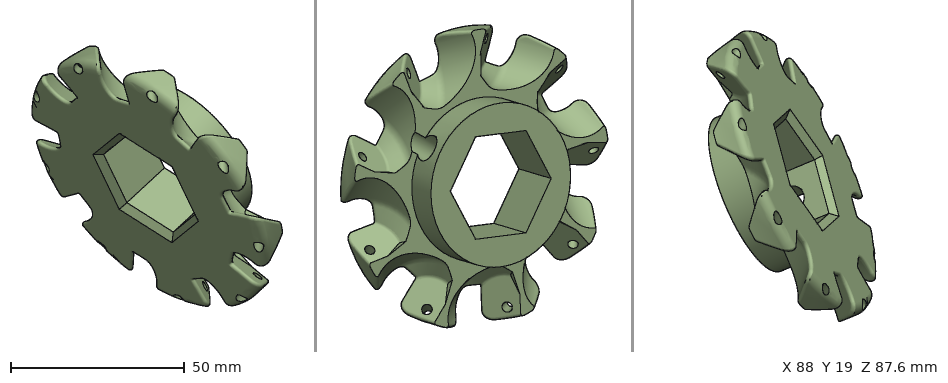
import cadquery as cq
import math

FLANGE_RADIUS = 44.0
FLANGE_THICKNESS = 9.0
RIM_FILLET = 3.0
BOSS_RADIUS = 24.0
BOSS_LENGTH = 10.0
TOTAL_LENGTH = FLANGE_THICKNESS + BOSS_LENGTH

HEX_ACROSS_FLATS = 30.0
HEX_CHAMFER = 2.0

SCREW_HOLE_DIAMETER = 8.0
SCREW_HOLE_FROM_BACK = 7.0
SCREW_HOLE_ANGLE = 30.0

TOOTH_COUNT = 9
FIRST_GULLET_ANGLE = 17.0
PITCH_CENTRE_ANGLE = 2.5
SEAT_SLANT = 45.0
SEAT_OFFSET = 2.3
POCKET_AXIS_ALONG_SEAT = 8.8
POCKET_AXIS_HEIGHT = 39.6
SEAT_RADIUS = 9.7
SEAT_CORNER_FILLET = 1.3
RELIEF_RADIUS = 13.7
RELIEF_START = 4.8
RELIEF_FILLET = 3.5
GULLET_LENGTH = 22.9
TOOTH_EDGE_FILLET = 0.8
INSERT_HOLE_DIAMETER = 3.0
INSERT_HOLE_LENGTH = 17.6

ORIGIN = (0, 0, 0)
Y_DIRECTION = (0, 1, 0)
TOLERANCE = 0.01


def disc(radius, length):
    """Cylinder on the Y axis, from Y = 0 towards +Y."""
    return cq.Workplane("XZ").circle(radius).extrude(-length)


def turn_to_gullet(shape, index=0):
    """Move a shape from the pocket axis frame to one of the gullets."""
    slant = math.radians(SEAT_SLANT)
    along_seat = cq.Vector(math.sin(slant), math.cos(slant), 0)
    frame = cq.Plane(
        origin=cq.Vector(SEAT_OFFSET, 0, POCKET_AXIS_HEIGHT) + along_seat * POCKET_AXIS_ALONG_SEAT,
        xDir=along_seat,
        normal=(0, 0, 1),
    )
    angle = FIRST_GULLET_ANGLE + index * 360 / TOOTH_COUNT
    placed = shape.val().moved(cq.Location(frame))
    return cq.Workplane(placed).rotate(ORIGIN, Y_DIRECTION, -angle)


def gullet_cutter():
    """Turned body about +Y: flat seat, flaring floor, then a straight relief."""
    seat_corner = (SEAT_RADIUS, 0)
    relief_corner = (RELIEF_RADIUS, RELIEF_START)
    near = cq.selectors.NearestToPointSelector
    half = (
        cq.Sketch()
        .polygon([
            (0, 0), seat_corner, relief_corner,
            (RELIEF_RADIUS, GULLET_LENGTH), (0, GULLET_LENGTH), (0, 0),
        ])
        .vertices(near((*seat_corner, 0)))
        .fillet(SEAT_CORNER_FILLET)
        .reset()
        .vertices(near((*relief_corner, 0)))
        .fillet(RELIEF_FILLET)
        .reset()
    )
    return cq.Workplane("XY").placeSketch(half).revolve(360, ORIGIN, Y_DIRECTION)


def on_outside(point):
    """Whether a point lies on the front face, the rim fillet or the rim."""
    radius = math.hypot(point.x, point.z)
    fillet_centre_radius = FLANGE_RADIUS - RIM_FILLET
    from_fillet_centre = math.hypot(radius - fillet_centre_radius, point.y - RIM_FILLET)
    return (
        abs(point.y) < TOLERANCE
        or abs(radius - FLANGE_RADIUS) < TOLERANCE
        or (point.y < RIM_FILLET and abs(from_fillet_centre - RIM_FILLET) < TOLERANCE)
    )


def is_tooth_edge(edge):
    """Whether an edge is where a gullet breaks out, other than on the back of the flange."""
    points = edge.positions([0.02, 0.25, 0.5, 0.75, 0.98])
    radii = [math.hypot(p.x, p.z) for p in points]
    heights = [p.y for p in points]
    on_back = min(heights) > FLANGE_THICKNESS - TOLERANCE
    is_round_line = max(radii) - min(radii) < TOLERANCE and max(heights) - min(heights) < TOLERANCE
    return all(on_outside(p) for p in points) and not on_back and not is_round_line


def tooth_pitch():
    """One pitch of the flange: a gullet with rounded edges between two half teeth."""
    blank = disc(FLANGE_RADIUS, FLANGE_THICKNESS)
    blank = blank.faces("<Y").edges().fillet(RIM_FILLET)
    notched = blank.cut(turn_to_gullet(gullet_cutter()))
    tooth_edges = [edge for edge in notched.edges().vals() if is_tooth_edge(edge)]
    notched = notched.newObject(tooth_edges).fillet(TOOTH_EDGE_FILLET)
    half_pitch = math.pi / TOOTH_COUNT
    reach = 2 * FLANGE_RADIUS
    side = (reach * math.sin(half_pitch), reach * math.cos(half_pitch))
    wedge = (
        cq.Workplane("XZ")
        .polyline([(0, 0), side, (-side[0], side[1])])
        .close()
        .extrude(-FLANGE_THICKNESS)
        .rotate(ORIGIN, Y_DIRECTION, -(FIRST_GULLET_ANGLE + PITCH_CENTRE_ANGLE))
    )
    return notched.intersect(wedge)


def make_flange():
    """Ring of equal pitches, with an insert screw hole through each tooth."""
    pitch = tooth_pitch()
    insert_hole = cq.Workplane("XZ").circle(INSERT_HOLE_DIAMETER / 2).extrude(INSERT_HOLE_LENGTH)
    flange = pitch
    for index in range(1, TOOTH_COUNT):
        flange = flange.union(pitch.rotate(ORIGIN, Y_DIRECTION, -index * 360 / TOOTH_COUNT))
    for index in range(TOOTH_COUNT):
        flange = flange.cut(turn_to_gullet(insert_hole, index))
    return flange


def hex_bore():
    """Through bore and its chamfered front, with two corners on the X axis."""
    corner_factor = 1 / math.cos(math.pi / 6)
    bore_corners = HEX_ACROSS_FLATS * corner_factor
    mouth_corners = (HEX_ACROSS_FLATS + 2 * HEX_CHAMFER) * corner_factor
    bore = cq.Workplane("XZ").polygon(6, bore_corners).extrude(-TOTAL_LENGTH)
    mouth = (
        cq.Workplane("XZ")
        .polygon(6, mouth_corners)
        .workplane(offset=-HEX_CHAMFER)
        .polygon(6, bore_corners)
        .loft(ruled=True)
    )
    return bore.union(mouth)


def screw_hole():
    """Radial hole from the bore outwards."""
    return (
        cq.Workplane("YZ")
        .center(TOTAL_LENGTH - SCREW_HOLE_FROM_BACK, 0)
        .circle(SCREW_HOLE_DIAMETER / 2)
        .extrude(FLANGE_RADIUS)
        .rotate(ORIGIN, Y_DIRECTION, -SCREW_HOLE_ANGLE)
    )


boss = disc(BOSS_RADIUS, TOTAL_LENGTH)
result = make_flange().union(boss).cut(hex_bore()).cut(screw_hole())